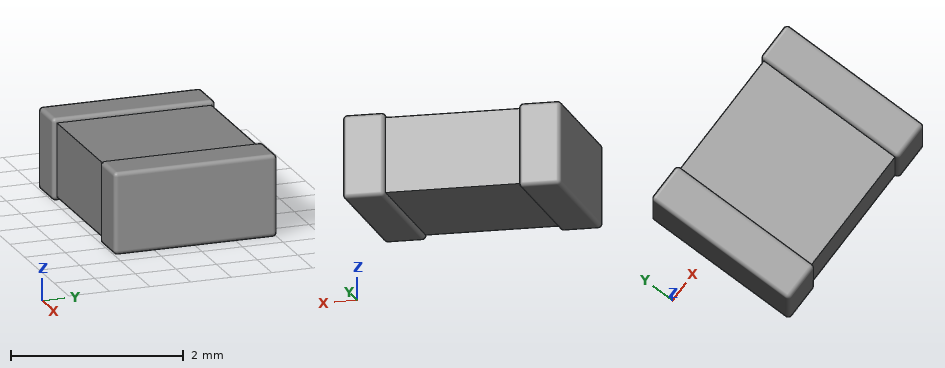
import cadquery as cq

LENGTH = 2.6
WIDTH = 2.0
HEIGHT = 1.0
TERMINAL_LENGTH = 0.5
EDGE_RADIUS = 0.05

BLOCK_LENGTH = LENGTH - 2 * TERMINAL_LENGTH
BLOCK_WIDTH = WIDTH - 2 * EDGE_RADIUS
BLOCK_HEIGHT = HEIGHT - 2 * EDGE_RADIUS
TERMINAL_CENTRE = (LENGTH - TERMINAL_LENGTH) / 2


def make_ceramic_block():
    """Plain sharp-edged block that fills the space between the terminals."""
    return cq.Workplane("XY").box(BLOCK_LENGTH, BLOCK_WIDTH, BLOCK_HEIGHT)


def make_terminal(centre_x):
    """End terminal with every edge rounded."""
    terminal = cq.Workplane("XY").box(TERMINAL_LENGTH, WIDTH, HEIGHT)
    return terminal.edges().fillet(EDGE_RADIUS).translate((centre_x, 0, 0))


ceramic_block = make_ceramic_block()

terminals = []
for side in (-1, 1):
    terminals.append(make_terminal(side * TERMINAL_CENTRE).val())

result = cq.Compound.makeCompound([ceramic_block.val(), *terminals])